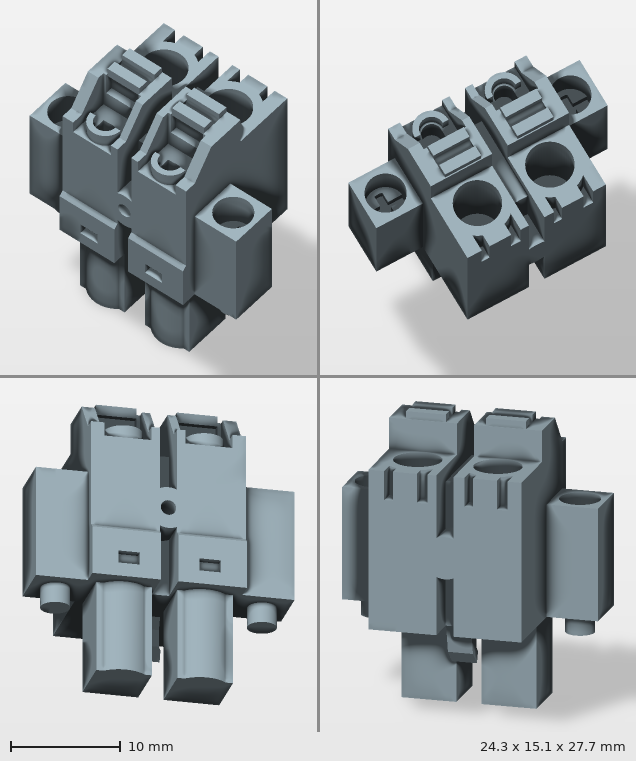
import cadquery as cq


housing_bottom = 8.75
housing_top = 24.0
tower_top = 26.95
lever_top = 27.67

pole_pitch = 7.6
pole_centers = [-pole_pitch / 2, pole_pitch / 2]
sides = [-1, 1]

overall_depth = 15.05
housing_width = 14.53
back_y = overall_depth / 2
ledge_y = -overall_depth / 2
ledge_depth = 0.45
front_y = ledge_y + ledge_depth
ledge_top = 13.78
ledge_bevel_height = 0.42

tower_back_y = 0.77
tower_slope_top_y = -3.43
tower_slope_bottom_y = -5.85

channel_width = 1.63
web_top = 22.52
web_front_y = -4.0
web_back_y = 4.45
boss_radius = 2.02
boss_hole_diameter = 1.45
boss_z = 16.15

overall_width = 24.3
flange_front_y = -5.85
flange_depth = 5.15
flange_top = 19.48
flange_width = (overall_width - housing_width) / 2
flange_x = (housing_width + flange_width) / 2
flange_y = flange_front_y + flange_depth / 2

screw_head_diameter = 3.85
screw_shank_diameter = 2.75
screw_head_height = 1.95
screw_recess_depth = 3.32
screw_tip = 6.8
screw_head_top = flange_top - screw_recess_depth
screw_head_bottom = screw_head_top - screw_head_height
drive_depth = 0.83
drive_slot_width = 0.55
drive_cross_width = 0.83
drive_cross_length = 2.77

plug_width = 5.23
plug_back_y = -0.33
plug_shoulder_y = -5.6
plug_front_y = -6.35
plug_bulge_width = 3.87

hook_width = pole_pitch - plug_width

wire_hole_diameter = 4.5
wire_hole_y = 3.3
wire_hole_depth = 8.3
slot_end_radius = 3.2
slot_depth = 2.77
slot_inner_offset = 1.13
wide_slot_width = 1.0
narrow_slot_width = 0.83

pocket_width = 4.43
pocket_back_y = -2.7
pocket_floor = 22.7
collar_y = -5.12
collar_outer_radius = 1.77
collar_inner_radius = 1.15
test_hole_width = 1.95
test_hole_back_y = -4.2
test_hole_depth = 2.77

window_width = 2.02
window_height = 1.2
window_z = 10.63
window_depth = 0.8

lever_width = 3.8
lever_bottom = 24.45
lever_back_y = 0.66
lever_front_y = -2.55
lever_stem_front_y = -1.95
lever_lip_bottom = 26.67
lever_groove_back_y = -0.42
lever_groove_front_y = -1.47


def box(x_range, y_range, z_range):
    """Axis-aligned box between the given limits."""
    (x0, x1), (y0, y1), (z0, z1) = x_range, y_range, z_range
    return cq.Workplane("XY").box(x1 - x0, y1 - y0, z1 - z0, centered=False).translate((x0, y0, z0))


def centered_box(x, width, y_range, z_range):
    """Box centered on x."""
    return box((x - width / 2, x + width / 2), y_range, z_range)


def cylinder(x, y, radius, z_range):
    """Upright cylinder between two heights."""
    z0, z1 = z_range
    return cq.Workplane("XY", origin=(x, y, z0)).circle(radius).extrude(z1 - z0)


def side_profile(points, width):
    """Prism of an outline of (y, z) points, centered on X = 0."""
    return cq.Workplane("YZ").polyline(points).close().extrude(width / 2, both=True)


def block():
    outline = [
        (back_y, housing_bottom),
        (back_y, housing_top),
        (tower_back_y, housing_top),
        (tower_back_y, tower_top),
        (tower_slope_top_y, tower_top),
        (tower_slope_bottom_y, housing_top),
        (front_y, housing_top),
        (front_y, ledge_top),
        (ledge_y, ledge_top - ledge_bevel_height),
        (ledge_y, housing_bottom),
    ]
    return side_profile(outline, housing_width)


def channel():
    """Space removed between the poles: all but the web and the boss."""
    y_range = (ledge_y, back_y)
    gap = centered_box(0, channel_width, y_range, (housing_bottom, tower_top))
    web = centered_box(0, channel_width, (web_front_y, web_back_y), (housing_bottom, web_top))
    boss = cq.Workplane("XZ", origin=(0, back_y, boss_z)).circle(boss_radius).extrude(back_y - front_y)
    return gap.cut(web).cut(boss)


def boss_hole():
    radius = boss_hole_diameter / 2
    return cq.Workplane("XZ", origin=(0, web_front_y, boss_z)).circle(radius).extrude(web_front_y - front_y)


def flange(side):
    y_range = (flange_front_y, flange_front_y + flange_depth)
    return centered_box(side * flange_x, flange_width, y_range, (housing_bottom, flange_top))


def screw_hole(side):
    x = side * flange_x
    head_bore = cylinder(x, flange_y, screw_head_diameter / 2, (screw_head_bottom, flange_top))
    shank_bore = cylinder(x, flange_y, screw_shank_diameter / 2, (housing_bottom, screw_head_bottom))
    return head_bore.union(shank_bore)


def plug(x):
    """Contact plug with a bulged front."""
    half_width = plug_width / 2
    half_bulge = plug_bulge_width / 2
    return (
        cq.Workplane("XY", origin=(x, 0, 0))
        .moveTo(-half_width, plug_back_y)
        .lineTo(-half_width, plug_shoulder_y)
        .lineTo(-half_bulge, plug_shoulder_y)
        .threePointArc((0, plug_front_y), (half_bulge, plug_shoulder_y))
        .lineTo(half_width, plug_shoulder_y)
        .lineTo(half_width, plug_back_y)
        .close()
        .extrude(housing_bottom)
    )


def latch_hook():
    """Hook that hangs from the housing, its barb pointing down and forward."""
    outline = [
        (3.15, housing_bottom),
        (2.45, 5.62),
        (1.15, 4.35),
        (0.8, 5.37),
        (1.38, 5.98),
        (1.38, 7.65),
        (0.97, housing_bottom),
    ]
    return side_profile(outline, hook_width)


def wire_hole(x):
    return cylinder(x, wire_hole_y, wire_hole_diameter / 2, (housing_top - wire_hole_depth, housing_top))


def back_slots(x):
    """Two slots open to the back, ending on an arc around the wire hole."""
    y_range = (wire_hole_y, back_y)
    z_range = (housing_top - slot_depth, housing_top)
    inner_left = x - slot_inner_offset
    inner_right = x + slot_inner_offset
    left = box((inner_left - wide_slot_width, inner_left), y_range, z_range)
    right = box((inner_right, inner_right + narrow_slot_width), y_range, z_range)
    return left.union(right).cut(cylinder(x, wire_hole_y, slot_end_radius, z_range))


def lever_pocket(x):
    """Pocket open to the front, and behind it the narrower seat of the lever."""
    pocket = centered_box(x, pocket_width, (front_y, pocket_back_y), (pocket_floor, tower_top))
    seat = centered_box(x, lever_width, (pocket_back_y, lever_back_y), (lever_bottom, tower_top))
    return pocket.union(seat)


def collar(x):
    """Front half of a ring standing on the pocket floor."""
    z_range = (pocket_floor, housing_top)
    ring = cylinder(x, collar_y, collar_outer_radius, z_range)
    ring = ring.cut(cylinder(x, collar_y, collar_inner_radius, z_range))
    front_half = centered_box(x, 2 * collar_outer_radius, (collar_y - collar_outer_radius, collar_y), z_range)
    return ring.intersect(front_half)


def test_hole(x):
    """U-shaped hole in the pocket floor."""
    z_range = (pocket_floor - test_hole_depth, pocket_floor)
    square_end = centered_box(x, test_hole_width, (collar_y, test_hole_back_y), z_range)
    return square_end.union(cylinder(x, collar_y, test_hole_width / 2, z_range))


def window(x):
    z_range = (window_z - window_height / 2, window_z + window_height / 2)
    return centered_box(x, window_width, (ledge_y, ledge_y + window_depth), z_range)


def make_housing():
    body = block().cut(channel()).cut(boss_hole())
    for side in sides:
        body = body.union(flange(side)).cut(screw_hole(side))
    for x in pole_centers:
        body = body.union(plug(x))
        body = body.cut(wire_hole(x)).cut(back_slots(x))
        body = body.cut(lever_pocket(x)).union(collar(x))
        body = body.cut(test_hole(x)).cut(window(x))
    return body.union(latch_hook())


def make_lever(x):
    """Lever with two grip ridges, a rounded groove between them and a front lip."""
    groove_middle_y = (lever_groove_back_y + lever_groove_front_y) / 2
    groove_radius = (lever_groove_back_y - lever_groove_front_y) / 2
    return (
        cq.Workplane("YZ")
        .moveTo(lever_back_y, lever_bottom)
        .lineTo(lever_back_y, lever_top)
        .lineTo(lever_groove_back_y, lever_top)
        .lineTo(lever_groove_back_y, tower_top)
        .threePointArc((groove_middle_y, tower_top - groove_radius), (lever_groove_front_y, tower_top))
        .lineTo(lever_groove_front_y, lever_top)
        .lineTo(lever_front_y, lever_top)
        .lineTo(lever_front_y, lever_lip_bottom)
        .lineTo(lever_stem_front_y, lever_lip_bottom)
        .lineTo(lever_stem_front_y, lever_bottom)
        .close()
        .extrude(lever_width / 2, both=True)
        .translate((x, 0, 0))
    )


def make_screw(side):
    """Recessed flange screw with a combined slot and cross drive."""
    x = side * flange_x
    head = cylinder(x, flange_y, screw_head_diameter / 2, (screw_head_bottom, screw_head_top))
    shank = cylinder(x, flange_y, screw_shank_diameter / 2, (screw_tip, screw_head_bottom))
    drive_range = (screw_head_top - drive_depth, screw_head_top)
    slot_y_range = (flange_y - drive_slot_width / 2, flange_y + drive_slot_width / 2)
    slot = centered_box(x, screw_head_diameter, slot_y_range, drive_range)
    cross_y_range = (flange_y - drive_cross_length / 2, flange_y + drive_cross_length / 2)
    cross = centered_box(x, drive_cross_width, cross_y_range, drive_range)
    cross = cross.intersect(cylinder(x, flange_y, drive_cross_length / 2, drive_range))
    return head.union(shank).cut(slot).cut(cross)


housing = make_housing()
levers = [make_lever(x) for x in pole_centers]
screws = [make_screw(side) for side in sides]

bodies = [housing, *levers, *screws]
result = cq.Compound.makeCompound([body.solids().val() for body in bodies])